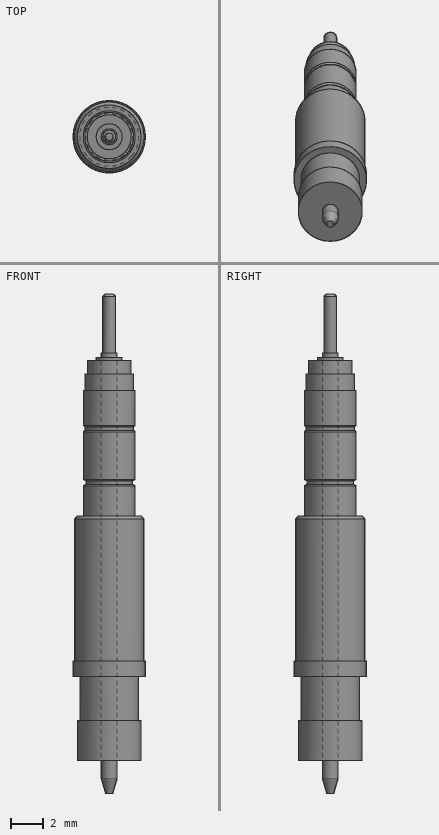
import cadquery as cq


PIN_LENGTH = 31.0
TIP_END_RADIUS = 0.22
TIP_CONE_HEIGHT = 0.93
SHAFT_RADIUS = 0.5
TERMINAL_RADIUS = 0.4
TERMINAL_CHAMFER = 0.15
TERMINAL_BOTTOM = 27.35
FLANGE_RADIUS = 0.8
FLANGE_HEIGHT = 0.2

HEAD_RADIUS = 1.98
HEAD_BOTTOM = 2.05
HEAD_HEIGHT = 2.48
SHANK_RADIUS = 1.83

BARREL_BOTTOM = 7.25
COLLAR_DIAMETER = 4.5
COLLAR_RADIUS = COLLAR_DIAMETER / 2
COLLAR_HEIGHT = 0.95
BODY_DIAMETER = 4.3
BODY_RADIUS = BODY_DIAMETER / 2
BODY_TOP = 17.25
BODY_CHAMFER = 0.2
STEM_RADIUS = 1.6
STEM_TOP = 25.02
RING_RADIUS = 1.52
RING_HEIGHT = 1.02
NOSE_RADIUS = 1.35
BARREL_TOP = 26.88

UPPER_GROOVE_TOP = 22.85
UPPER_GROOVE_DEPTH = 0.1
LOWER_GROOVE_TOP = 19.5
LOWER_GROOVE_DEPTH = 0.15
GROOVE_WIDTH = 0.4
GROOVE_WALL_HEIGHT = 0.1


def turned(profile):
    """Solid turned about the Z axis from a closed (radius, height) profile."""
    return cq.Workplane("XZ").polyline(profile).close().revolve(360, (0, 0), (0, 1))


def cylinder(radius, bottom, top):
    return cq.Workplane("XY").workplane(offset=bottom).circle(radius).extrude(top - bottom)


def stem_groove(top, depth):
    """Ring of material removed from the stem to form one groove."""
    floor_radius = STEM_RADIUS - depth
    bottom = top - GROOVE_WIDTH
    return turned([
        (STEM_RADIUS, top),
        (STEM_RADIUS, bottom),
        (floor_radius, bottom + GROOVE_WALL_HEIGHT),
        (floor_radius, top - GROOVE_WALL_HEIGHT),
    ])


def centre_bore(bottom, top):
    """Bore that fits the shaft of the centre pin."""
    return cylinder(SHAFT_RADIUS, bottom, top)


def make_centre_pin():
    flange_top = BARREL_TOP + FLANGE_HEIGHT
    return turned([
        (0, 0),
        (TIP_END_RADIUS, 0),
        (SHAFT_RADIUS, TIP_CONE_HEIGHT),
        (SHAFT_RADIUS, BARREL_TOP),
        (FLANGE_RADIUS, BARREL_TOP),
        (FLANGE_RADIUS, flange_top),
        (SHAFT_RADIUS, flange_top),
        (SHAFT_RADIUS, TERMINAL_BOTTOM),
        (TERMINAL_RADIUS, TERMINAL_BOTTOM),
        (TERMINAL_RADIUS, PIN_LENGTH - TERMINAL_CHAMFER),
        (TERMINAL_RADIUS - TERMINAL_CHAMFER, PIN_LENGTH),
        (0, PIN_LENGTH),
    ])


def make_plunger():
    head_top = HEAD_BOTTOM + HEAD_HEIGHT
    head = cylinder(HEAD_RADIUS, HEAD_BOTTOM, head_top)
    shank = cylinder(SHANK_RADIUS, head_top, BARREL_BOTTOM)
    return head.union(shank).cut(centre_bore(HEAD_BOTTOM, BARREL_BOTTOM))


def make_barrel():
    collar_top = BARREL_BOTTOM + COLLAR_HEIGHT
    ring_top = STEM_TOP + RING_HEIGHT
    body = cylinder(BODY_RADIUS, collar_top, BODY_TOP).faces(">Z").chamfer(BODY_CHAMFER)
    barrel = (
        cylinder(COLLAR_RADIUS, BARREL_BOTTOM, collar_top)
        .union(body)
        .union(cylinder(STEM_RADIUS, BODY_TOP, STEM_TOP))
        .union(cylinder(RING_RADIUS, STEM_TOP, ring_top))
        .union(cylinder(NOSE_RADIUS, ring_top, BARREL_TOP))
    )
    barrel = barrel.cut(stem_groove(UPPER_GROOVE_TOP, UPPER_GROOVE_DEPTH))
    barrel = barrel.cut(stem_groove(LOWER_GROOVE_TOP, LOWER_GROOVE_DEPTH))
    return barrel.cut(centre_bore(BARREL_BOTTOM, BARREL_TOP))


centre_pin = make_centre_pin()
plunger = make_plunger()
barrel = make_barrel()

result = cq.Compound.makeCompound([centre_pin.val(), plunger.val(), barrel.val()])